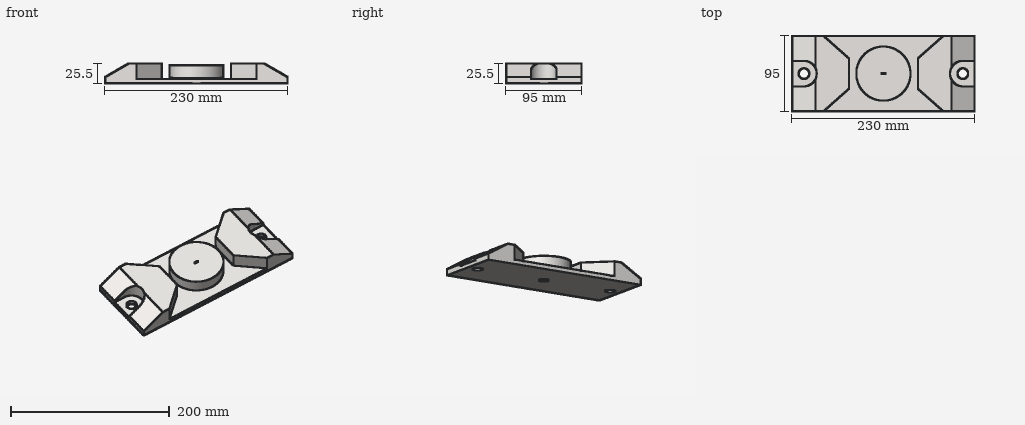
import cadquery as cq
import math

length = 230.0
width = 95.0
plate_height = 5.8

block_height = 25.0
end_height = 8.0
slope_angle = 30.0
shoulder_reach = 39.5
nose_reach = 71.5
nose_width = 38.5

hole_inset = 15.0
hole_diameter = 13.0
seat_diameter = 32.2

disc_diameter = 68.3
disc_bottom = 7.0
disc_top = 23.0
neck_diameter = 61.0
slit_length = 5.0
slit_width = 1.0
slit_depth = 0.7

pad_diameter = 12.2
pad_height = 0.5

half_length = length / 2
half_width = width / 2
slope_run = (block_height - end_height) / math.tan(math.radians(slope_angle))


def end_block():
    """Block at the -X end: its side profile limited to its plan outline."""
    shoulder_x = shoulder_reach - half_length
    nose_x = nose_reach - half_length
    profile = (
        cq.Workplane("XZ")
        .moveTo(-half_length, 0)
        .lineTo(-half_length, end_height)
        .lineTo(slope_run - half_length, block_height)
        .lineTo(nose_x, block_height)
        .lineTo(nose_x, 0)
        .close()
        .extrude(half_width, both=True)
    )
    plan = (
        cq.Workplane("XY")
        .moveTo(-half_length, -half_width)
        .lineTo(shoulder_x, -half_width)
        .lineTo(nose_x, -nose_width / 2)
        .lineTo(nose_x, nose_width / 2)
        .lineTo(shoulder_x, half_width)
        .lineTo(-half_length, half_width)
        .close()
        .extrude(block_height)
    )
    return profile.intersect(plan)


def screw_seat():
    """Cutter at the -X end: a round-ended seat open to the end face, and a through hole."""
    hole_x = hole_inset - half_length
    seat_depth = block_height - plate_height
    seat = cq.Workplane("XY", origin=(hole_x, 0, plate_height)).circle(seat_diameter / 2).extrude(seat_depth)
    opening = (
        cq.Workplane("XY", origin=(hole_x - hole_inset / 2, 0, plate_height))
        .rect(hole_inset, seat_diameter)
        .extrude(seat_depth)
    )
    hole = cq.Workplane("XY", origin=(hole_x, 0, 0)).circle(hole_diameter / 2).extrude(plate_height)
    return seat.union(opening).union(hole)


def disc():
    """Central disc standing on its neck, with the slit cut along X."""
    neck = cq.Workplane("XY").circle(neck_diameter / 2).extrude(disc_bottom)
    body = (
        cq.Workplane("XY", origin=(0, 0, disc_bottom))
        .circle(disc_diameter / 2)
        .extrude(disc_top - disc_bottom)
    )
    slit = (
        cq.Workplane("XY", origin=(0, 0, disc_top - slit_depth))
        .rect(slit_length, slit_width)
        .extrude(slit_depth)
    )
    return neck.union(body).cut(slit)


def at_both_ends(shape):
    """The shape at the -X end together with its mirror image at the +X end."""
    return shape.union(shape.mirror("YZ"))


base = cq.Workplane("XY").box(length, width, plate_height, centered=(True, True, False))
pad = cq.Workplane("XY").circle(pad_diameter / 2).extrude(-pad_height)

result = (
    base.union(at_both_ends(end_block()))
    .cut(at_both_ends(screw_seat()))
    .union(disc())
    .union(pad)
)